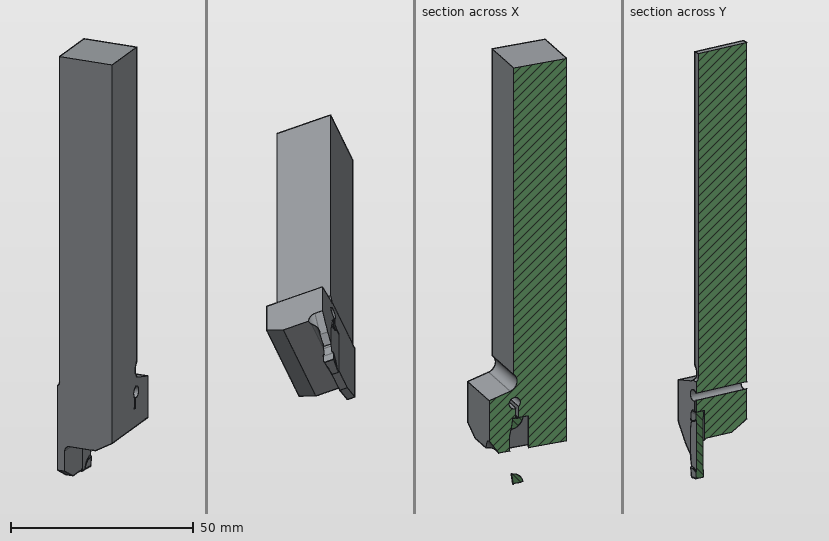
import cadquery as cq
import math


shank = 16.0
overall_length = 125.0
head_depth = 23.4
head_bottom = 11.5
head_step = 0.6
head_x = -head_step
step_bottom = 28.8
step_radius = 1.4
shoulder_angle = 15.0
bevel_angle = 30.0
head_bevel = 5.0

groove_radius = 2.8
groove_y = 17.8
groove_z = 30.9

blade_thickness = 2.2
blade_back = head_x + blade_thickness
blade_bottom = 0.94
blade_bevel = 5.5
blade_root_radius = 1.5

jaw_lip = (16.8, 6.1)
jaw_knee = (19.6, 9.0)
jaw_outer_z = 14.4
jaw_radius = 2.0
jaw_cut_floor = blade_back + jaw_radius

hole_diameter = 3.2
hole_y = 15.6
hole_z = 24.4
slit_width = 0.8
slit_y = 14.9

insert_width = 3.0
insert_length = 20.0
insert_mid_x = head_x + blade_thickness / 2
insert_mid_z = insert_length / 2
insert_seat_y = 11.5
edge_y = 16.1
crest_y = 17.1
crest_half_length = 4.6
rake_foot = (16.5, 2.6)
end_relief = 0.2
corner_radius = 0.6

side_land = (insert_width - blade_thickness) / 2
side_relief = 0.1
back_taper = 0.02
land_end_y = 13.0
land_mid = (14.1, 2.4)
land_top = (17.1, 3.4)
land_step_angle = 50.0


def extrude_yz(sketch, x_start, x_end):
    """Extrude a closed YZ outline drawn on the YZ plane from x_start to x_end."""
    return sketch.extrude(x_end - x_start).translate((x_start, 0, 0))


def yz_polygon(points, x_start, x_end):
    return extrude_yz(cq.Workplane("YZ").polyline(points).close(), x_start, x_end)


def side_body():
    """Shank, groove, shoulder and head as one YZ outline."""
    angle = math.radians(shoulder_angle)
    groove_top_z = groove_z + math.sqrt(groove_radius**2 - (groove_y - shank) ** 2)
    tangent_y = groove_y - groove_radius * math.sin(angle)
    tangent_z = groove_z - groove_radius * math.cos(angle)
    shoulder_z = tangent_z - (head_depth - tangent_y) * math.tan(angle)
    bevel_height = blade_bevel * math.tan(math.radians(bevel_angle))
    outline = (
        cq.Workplane("YZ")
        .moveTo(0, overall_length)
        .lineTo(shank, overall_length)
        .lineTo(shank, groove_top_z)
        .threePointArc((groove_y - groove_radius, groove_z), (tangent_y, tangent_z))
        .lineTo(head_depth, shoulder_z)
        .lineTo(head_depth, blade_bottom)
        .lineTo(blade_bevel, blade_bottom)
        .lineTo(0, blade_bottom + bevel_height)
        .close()
    )
    return extrude_yz(outline, head_x, shank)


def front_envelope():
    """XZ outline with the head step, the thin blade and the bevelled bottom."""
    step_height = math.sqrt(2 * step_radius * head_step - head_step**2)
    half_angle = math.asin(step_height / step_radius) / 2
    step_mid = (
        -step_radius * (1 - math.cos(half_angle)),
        step_bottom + step_height - step_radius * math.sin(half_angle),
    )
    bevel_height = head_bevel * math.tan(math.radians(bevel_angle))
    root_x = blade_back + blade_root_radius
    root_z = head_bottom - blade_root_radius
    root_offset = blade_root_radius * math.sqrt(0.5)
    return (
        cq.Workplane("XZ")
        .moveTo(0, overall_length)
        .lineTo(0, step_bottom + step_height)
        .threePointArc(step_mid, (head_x, step_bottom))
        .lineTo(head_x, 0)
        .lineTo(blade_back, 0)
        .lineTo(blade_back, root_z)
        .threePointArc((root_x - root_offset, root_z + root_offset), (root_x, head_bottom))
        .lineTo(shank - head_bevel, head_bottom)
        .lineTo(shank, head_bottom + bevel_height)
        .lineTo(shank, overall_length)
        .close()
        .extrude(-head_depth)
    )


def jaw_cut():
    """Cuts under the upper jaw: a steep one with a rounded floor corner, and a flatter one at the lip."""
    steepness = (jaw_outer_z - jaw_knee[1]) / (head_depth - jaw_knee[0])
    far_y = head_depth + shank
    far_z = jaw_outer_z + shank * steepness
    foot_y = jaw_knee[0] - jaw_knee[1] / steepness
    steep_cut = yz_polygon([(foot_y, 0), (far_y, far_z), (far_y, 0)], head_x, jaw_cut_floor)
    slant = cq.selectors.NearestToPointSelector((jaw_cut_floor, head_depth, jaw_outer_z))
    steep_cut = steep_cut.edges(">X").edges(slant).fillet(jaw_radius)
    lip_cut = yz_polygon([(jaw_lip[0], 0), jaw_lip, jaw_knee, (jaw_knee[0], 0)], head_x, blade_back)
    return steep_cut.union(lip_cut)


def clamp_slit():
    """Through hole and the slit that joins it to the insert pocket."""
    hole = extrude_yz(
        cq.Workplane("YZ").center(hole_y, hole_z).circle(hole_diameter / 2), head_x, shank
    )
    left, right = slit_y - slit_width / 2, slit_y + slit_width / 2
    low = insert_length - end_relief
    slit = yz_polygon([(left, low), (right, low), (right, hole_z), (left, hole_z)], head_x, shank)
    return hole.union(slit)


def insert_blank(width):
    """Insert side outline, the same at both ends, extruded to the given width."""
    lower = [
        (insert_seat_y, end_relief),
        (edge_y - end_relief, end_relief),
        (edge_y, 0),
        rake_foot,
        (crest_y, insert_mid_z - crest_half_length),
    ]
    upper = [(y, insert_length - z) for y, z in reversed(lower)]
    return yz_polygon(lower + upper, insert_mid_x - width / 2, insert_mid_x + width / 2)


def plain_bar(height):
    """Bar as thick as the blade, standing on Z = 0 and deeper in Y than the insert."""
    bar = cq.Workplane("XY").box(blade_thickness, head_depth, height, centered=(True, False, False))
    return bar.translate((insert_mid_x, 0, 0))


def round_end_corners(bar):
    """Round the two lower edges that run up a cutting end's sides."""
    return bar.faces("<Z").edges("not |X").fillet(corner_radius)


def land_section(z):
    """(X, Y) corners across the insert end at height z, narrowing below the cutting edge."""
    def half_width(y):
        return insert_width / 2 - side_relief * (edge_y - y) - back_taper * z

    corners = []
    for side, y in ((-1, insert_seat_y), (1, insert_seat_y), (1, crest_y), (-1, crest_y)):
        corners.append((insert_mid_x + side * half_width(y), y))
    return corners


def side_plate():
    """Raised land on the -X side, with a sloped step along its rounded end."""
    step_margin = 1.2
    low_z = -step_margin
    high_y = land_top[0] + step_margin
    land = (
        cq.Workplane("YZ", origin=(insert_mid_x - blade_thickness / 2, 0, 0))
        .moveTo(land_end_y, low_z)
        .lineTo(land_end_y, 0)
        .threePointArc(land_mid, land_top)
        .lineTo(high_y, land_top[1])
        .lineTo(high_y, low_z)
        .close()
    )
    return land.extrude(-side_land, taper=land_step_angle)


def cutting_end():
    """Wide lower end of the insert, tapering down and back from the cutting edge."""
    taper = (
        cq.Workplane("XY")
        .polyline(land_section(0))
        .close()
        .workplane(offset=land_top[1])
        .polyline(land_section(land_top[1]))
        .close()
        .loft(ruled=True)
    )
    core = plain_bar(land_top[1])
    left_plate = side_plate()
    right_plate = left_plate.mirror("YZ", (insert_mid_x, 0, 0))
    lands = core.union(left_plate).union(right_plate)
    return round_end_corners(taper).intersect(lands)


def make_insert():
    middle = plain_bar(insert_length).edges("|Y").fillet(corner_radius)
    lower_end = cutting_end()
    upper_end = lower_end.mirror("XY", (0, 0, insert_mid_z))
    return middle.union(lower_end).union(upper_end).intersect(insert_blank(insert_width))


def make_holder():
    holder = side_body().intersect(front_envelope())
    holder = holder.cut(jaw_cut())
    holder = holder.cut(clamp_slit())
    return holder.cut(insert_blank(insert_width))


holder = make_holder()
insert = make_insert()
result = cq.Compound.makeCompound([holder.val(), insert.val()])